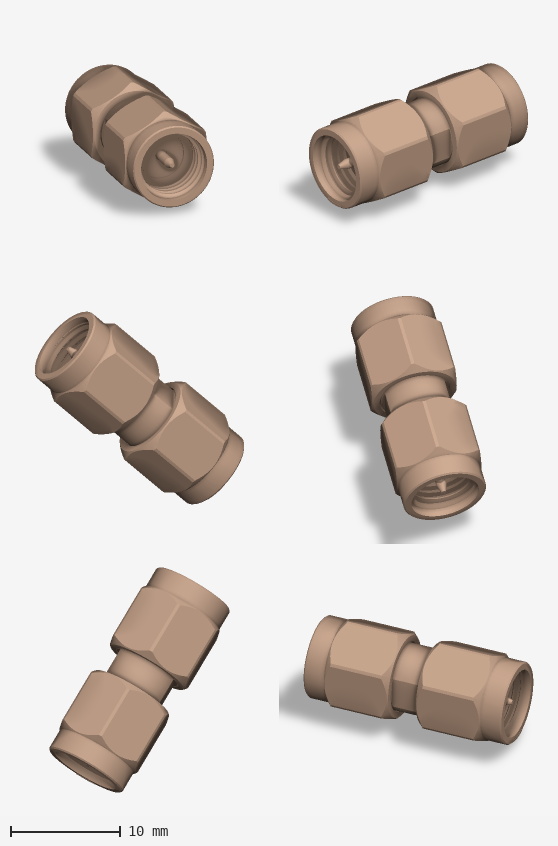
import cadquery as cq
import math

total_length = 19.56
end_tab_length = 0.04
body_length = total_length - end_tab_length
body_center_x = -end_tab_length / 2
half_length = body_length / 2
neck_length = 2.74
collar_length = 2.03

collar_radius = 7.77 / 2
collar_edge_length = 0.14
collar_edge_depth = 0.12
hex_across_flats = 7.95
hex_corner_radius = 4.5
hex_chamfer_length = 0.67
nut_rear_recess_radius = 6.61 / 2
nut_rear_recess_depth = 0.4

neck_radius = 6.35 / 2
neck_across_flats = 5.6

socket_radius = 6.35 / 2
socket_depth = 3.72
thread_minor_radius = 2.8
thread_pitch = 0.7
thread_start_depth = 0.23
thread_turns = 4.3
lead_in_depth = 0.6
lead_in_radius = 3.33
thread_root_width = 0.55
thread_crest_width = 0.12
thread_root_overlap = 0.04

floor_groove_outer_radius = 4.44 / 2
floor_groove_inner_radius = 2.11
floor_groove_depth = 0.1
pin_radius = 0.94 / 2
pin_gap_radius = 1.2 / 2
pin_gap_depth = 0.1
pin_tip_radius = 0.22
pin_tip_depth = 0.49
pin_cone_length = 0.85

tab_inner_radius = 3.56
tab_outer_radius = 3.75
tab_width = 1.95


def cylinder(radius, start_x, length):
    return cq.Workplane("YZ", origin=(start_x, 0, 0)).circle(radius).extrude(length)


def ring(outer_radius, inner_radius, start_x, length):
    return cylinder(outer_radius, start_x, length).cut(cylinder(inner_radius, start_x, length))


def revolve_about_x(points):
    """Revolve a closed outline of (x, radius) points about the X axis."""
    return cq.Workplane("XY").polyline(points).close().revolve(360, (0, 0, 0), (1, 0, 0))


def make_nut():
    """Hexagonal nut with a round collar; its open end is at X = 0."""
    rear_x = half_length - neck_length / 2
    hex_length = rear_x - collar_length
    hexagon = (
        cq.Workplane("YZ", origin=(collar_length, 0, 0))
        .polygon(6, hex_across_flats / math.cos(math.pi / 6))
        .extrude(hex_length)
        .rotate((0, 0, 0), (1, 0, 0), 90)
    )
    envelope = revolve_about_x([
        (collar_length, 0),
        (collar_length, collar_radius),
        (collar_length + hex_chamfer_length, hex_corner_radius),
        (rear_x - hex_chamfer_length, hex_corner_radius),
        (rear_x, collar_radius),
        (rear_x, 0),
    ])
    collar = revolve_about_x([
        (0, 0),
        (0, collar_radius - collar_edge_depth),
        (collar_edge_length, collar_radius),
        (collar_length, collar_radius),
        (collar_length, 0),
    ])
    rear_recess = cylinder(nut_rear_recess_radius, rear_x - nut_rear_recess_depth, nut_rear_recess_depth)
    return hexagon.intersect(envelope).union(collar).cut(rear_recess)


def make_thread():
    """Helical ridge inside the socket, with its root in the wall and a 45-degree lead-in."""
    root_radius = socket_radius + thread_root_overlap
    helix = cq.Wire.makeHelix(thread_pitch, thread_pitch * thread_turns, socket_radius)
    profile = (
        cq.Workplane("XZ")
        .moveTo(root_radius, -thread_root_width / 2)
        .lineTo(thread_minor_radius, -thread_crest_width / 2)
        .lineTo(thread_minor_radius, thread_crest_width / 2)
        .lineTo(root_radius, thread_root_width / 2)
        .close()
    )
    ridge = profile.sweep(cq.Workplane(obj=helix), isFrenet=True)
    ridge = ridge.rotate((0, 0, 0), (0, 1, 0), 90).translate((thread_start_depth, 0, 0))
    lead_in_mouth = cylinder(lead_in_radius, -lead_in_depth, 2 * lead_in_depth)
    lead_in_cone = revolve_about_x([
        (lead_in_depth, 0),
        (lead_in_depth, lead_in_radius),
        (lead_in_depth + lead_in_radius, 0),
    ])
    lead_in = lead_in_mouth.union(lead_in_cone)
    return ridge.cut(lead_in)


def make_pin():
    return revolve_about_x([
        (pin_tip_depth, 0),
        (pin_tip_depth, pin_tip_radius),
        (pin_tip_depth + pin_cone_length, pin_radius),
        (socket_depth + pin_gap_depth, pin_radius),
        (socket_depth + pin_gap_depth, 0),
    ])


def make_connector_end():
    """One complete plug end, opening toward -X at X = 0."""
    socket = cylinder(socket_radius, 0, socket_depth)
    floor_groove = ring(floor_groove_outer_radius, floor_groove_inner_radius, socket_depth, floor_groove_depth)
    pin_gap = cylinder(pin_gap_radius, socket_depth, pin_gap_depth)
    end = make_nut().cut(socket).cut(floor_groove).cut(pin_gap)
    return end.union(make_pin()).union(make_thread())


def make_neck():
    """Round neck with two wrench flats, whose round ends reach into both nut recesses."""
    length = neck_length + 2 * nut_rear_recess_depth
    neck = cylinder(neck_radius, -length / 2, length)
    flat_band = cq.Workplane("XY").box(neck_length, 2 * neck_radius, 2 * neck_radius)
    flat_core = cq.Workplane("XY").box(neck_length, neck_across_flats, 2 * neck_radius)
    return neck.cut(flat_band.cut(flat_core))


def make_end_tab():
    tab = ring(tab_outer_radius, tab_inner_radius, half_length, end_tab_length)
    lower_sector = cq.Workplane("XY").box(end_tab_length, tab_width, tab_outer_radius).translate(
        (half_length + end_tab_length / 2, 0, -tab_outer_radius / 2)
    )
    return tab.intersect(lower_sector)


left_end = make_connector_end().translate((-half_length, 0, 0))
right_end = left_end.rotate((0, 0, 0), (0, 0, 1), 180)
result = make_neck().union(left_end).union(right_end).union(make_end_tab())
result = result.translate((body_center_x, 0, 0))